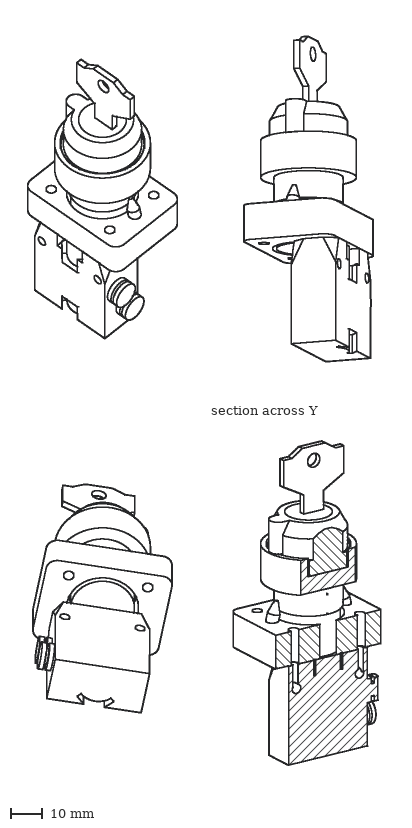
import cadquery as cq
import math

BASE_BOTTOM_Z = 33.3
BASE_TOP_Z = 44.7
COLLAR_BOTTOM_Z = 47.4
BEZEL_BOTTOM_Z = 56.0
BEZEL_TOP_Z = 67.7
KNOB_EDGE_Z = 73.9
KNOB_TOP_Z = 78.4
KEY_TOP_Z = 100.5

BLOCK_WIDTH = 30.0
BLOCK_DEPTH = 15.0
BLOCK_FRONT_Y = -BLOCK_DEPTH
CORNER_CUT_X = 2.6
CORNER_CUT_Y = 4.2
CORNER_CUT_Z = 8.1
CROSS_HOLE_DIAMETER = 3.0
CROSS_HOLE_X = 12.0
CROSS_HOLE_Z = BASE_BOTTOM_Z - 8.2
THREAD_HOLE_DIAMETER = 2.4
THREAD_HOLE_X = 12.4

SLOT_WIDTH = 6.5
TEE_WIDTH = 10.8
TEE_BOTTOM_Z = 27.9
SLOT_BOTTOM_Z = 21.8
FOOT_SLOT_HEIGHT = 5.9
TEE_BACK_Y = -10.5
CORE_SIDE_Y = -11.3
CORE_RADIUS = 6.5
CORE_HALF_CHORD = 4.7
CORE_BULGE = CORE_RADIUS - math.sqrt(CORE_RADIUS**2 - CORE_HALF_CHORD**2)

SCREW_HEAD_DIAMETER = 8.5
SCREW_WAIST_DIAMETER = 5.0
SCREW_DISC = 1.5
SCREW_WAIST = 0.9
LOWER_SCREW_Z = 9.3
SCREW_PITCH_Z = 9.1
SCREW_OFFSET_Y = 2.0

BASE_LENGTH = 40.0
BASE_WIDTH = 30.0
BASE_CORNER_RADIUS = 3.5
NECK_HOLE_DIAMETER = 22.5
MOUNT_HOLE_DIAMETER = 3.2
MOUNT_HOLE_X = 12.6
MOUNT_HOLE_Y = 10.0

PIN_DIAMETER = 4.0
PIN_TIP_DIAMETER = 1.2
PIN_X = 13.8
PIN_TILT = 14.0
PIN_SHANK = 2.4
PIN_CONE = 4.2
PIN_ROOT = 1.5

NECK_DIAMETER = 20.0
COLLAR_DIAMETER = 21.7
BEZEL_DIAMETER = 30.0
BORE_DIAMETER = 26.5
BORE_DEPTH = 6.0
PLUG_DIAMETER = 15.0
KEY_CENTRE_X = 1.3
KEY_THICKNESS = 2.0
KEY_STEM_WIDTH = 7.5
KEY_BOW_WIDTH = 22.9
KEY_TOP_WIDTH = 8.6
KEY_CREST_WIDTH = 16.6
KEY_STEM_TOP_Z = 84.7
KEY_BOW_BOTTOM_Z = 88.9
KEY_BOW_TOP_Z = 98.0
KEY_HOLE_DIAMETER = 4.5
KEY_HOLE_Z = 95.6

SKIRT_DIAMETER = 26.0
SKIRT_RECESS = 0.8
KNOB_DIAMETER = 24.5
KNOB_TOP_DIAMETER = 19.5
TAB_WIDTH = 6.0
TAB_REACH = 14.5


def box(width, y_min, y_max, z_min, z_max):
    """Box centred on X = 0 between the given Y and Z limits."""
    return (
        cq.Workplane("XY", origin=(0, 0, z_min))
        .rect(width, y_max - y_min)
        .extrude(z_max - z_min)
        .translate((0, (y_min + y_max) / 2, 0))
    )


def disc(diameter, z_min, z_max):
    """Upright cylinder on the Z axis."""
    return cq.Workplane("XY", origin=(0, 0, z_min)).circle(diameter / 2).extrude(z_max - z_min)


def corner_cut(side_x, side_y):
    """Tetrahedron that slopes one upper corner of the contact block."""
    corner = cq.Vector(
        side_x * BLOCK_WIDTH / 2, (side_y - 1) / 2 * BLOCK_DEPTH, BASE_BOTTOM_Z
    )
    along_x = corner + cq.Vector(-side_x * CORNER_CUT_X, 0, 0)
    along_y = corner + cq.Vector(0, -side_y * CORNER_CUT_Y, 0)
    along_z = corner + cq.Vector(0, 0, -CORNER_CUT_Z)
    triangles = [
        (corner, along_x, along_y),
        (corner, along_x, along_z),
        (corner, along_y, along_z),
        (along_x, along_y, along_z),
    ]
    faces = [cq.Face.makeFromWires(cq.Wire.makePolygon(points, close=True)) for points in triangles]
    return cq.Workplane(cq.Solid.makeSolid(cq.Shell.makeShell(faces)))


def dovetail_slot(z_min, z_max):
    """Slot that widens inwards at 45 degrees, returns at 45 degrees and is backed by a bulging core."""
    mouth = SLOT_WIDTH / 2
    inset = (CORE_SIDE_Y - BLOCK_FRONT_Y + CORE_HALF_CHORD - mouth) / 2
    return (
        cq.Workplane("XY", origin=(0, 0, z_min))
        .moveTo(-mouth, BLOCK_FRONT_Y)
        .lineTo(-mouth - inset, BLOCK_FRONT_Y + inset)
        .lineTo(-CORE_HALF_CHORD, CORE_SIDE_Y)
        .threePointArc((0, CORE_SIDE_Y - CORE_BULGE), (CORE_HALF_CHORD, CORE_SIDE_Y))
        .lineTo(mouth + inset, BLOCK_FRONT_Y + inset)
        .lineTo(mouth, BLOCK_FRONT_Y)
        .close()
        .extrude(z_max - z_min)
    )


def tee_slot():
    """Wide slot under the base, with the bulging core at its back."""
    return (
        cq.Workplane("XY", origin=(0, 0, TEE_BOTTOM_Z))
        .moveTo(-TEE_WIDTH / 2, BLOCK_FRONT_Y)
        .lineTo(-TEE_WIDTH / 2, TEE_BACK_Y)
        .lineTo(-CORE_HALF_CHORD, TEE_BACK_Y)
        .lineTo(-CORE_HALF_CHORD, CORE_SIDE_Y)
        .threePointArc((0, CORE_SIDE_Y - CORE_BULGE), (CORE_HALF_CHORD, CORE_SIDE_Y))
        .lineTo(CORE_HALF_CHORD, TEE_BACK_Y)
        .lineTo(TEE_WIDTH / 2, TEE_BACK_Y)
        .lineTo(TEE_WIDTH / 2, BLOCK_FRONT_Y)
        .close()
        .extrude(BASE_BOTTOM_Z - TEE_BOTTOM_Z)
    )


def terminal_screw(y, z):
    """Grooved screw head that stands out of the +X side of the block."""
    screw = cq.Workplane("YZ", origin=(BLOCK_WIDTH / 2, y, z))
    length = 2 * SCREW_DISC + SCREW_WAIST
    waist = screw.circle(SCREW_WAIST_DIAMETER / 2).extrude(length)
    inner = screw.circle(SCREW_HEAD_DIAMETER / 2).extrude(SCREW_DISC)
    outer = inner.translate((SCREW_DISC + SCREW_WAIST, 0, 0))
    return waist.union(inner).union(outer)


def make_contact_block():
    block = box(BLOCK_WIDTH, BLOCK_FRONT_Y, 0, 0, BASE_BOTTOM_Z)
    block = block.cut(dovetail_slot(0, FOOT_SLOT_HEIGHT))
    block = block.cut(dovetail_slot(SLOT_BOTTOM_Z, TEE_BOTTOM_Z)).cut(tee_slot())
    for side_x in (-1, 1):
        for side_y in (-1, 1):
            block = block.cut(corner_cut(side_x, side_y))
        cross_hole = (
            cq.Workplane("XZ", origin=(side_x * CROSS_HOLE_X, 0, CROSS_HOLE_Z))
            .circle(CROSS_HOLE_DIAMETER / 2)
            .extrude(BLOCK_DEPTH)
        )
        thread_hole = disc(THREAD_HOLE_DIAMETER, CROSS_HOLE_Z, BASE_BOTTOM_Z).translate(
            (side_x * THREAD_HOLE_X, -MOUNT_HOLE_Y, 0)
        )
        block = block.cut(cross_hole).cut(thread_hole)
    middle_y = BLOCK_FRONT_Y / 2
    lower = terminal_screw(middle_y + SCREW_OFFSET_Y, LOWER_SCREW_Z)
    upper = terminal_screw(middle_y - SCREW_OFFSET_Y, LOWER_SCREW_Z + SCREW_PITCH_Z)
    return block.union(lower).union(upper)


def locating_pin(side):
    """Pointed pin leaning towards the neck; its root is sunk in the base."""
    pin = (
        cq.Workplane("XZ")
        .moveTo(0, -PIN_ROOT)
        .lineTo(PIN_DIAMETER / 2, -PIN_ROOT)
        .lineTo(PIN_DIAMETER / 2, PIN_SHANK)
        .lineTo(PIN_TIP_DIAMETER / 2, PIN_SHANK + PIN_CONE)
        .lineTo(0, PIN_SHANK + PIN_CONE)
        .close()
        .revolve(360, (0, 0, 0), (0, 1, 0))
    )
    return pin.rotate((0, 0, 0), (0, 1, 0), -side * PIN_TILT).translate((side * PIN_X, 0, BASE_TOP_Z))


def make_base():
    base = box(BASE_LENGTH, -BASE_WIDTH / 2, BASE_WIDTH / 2, BASE_BOTTOM_Z, BASE_TOP_Z)
    base = base.edges("|Z").fillet(BASE_CORNER_RADIUS)
    for side in (-1, 1):
        base = base.union(locating_pin(side))
        for side_y in (-1, 1):
            mount_hole = disc(MOUNT_HOLE_DIAMETER, BASE_BOTTOM_Z, BASE_TOP_Z)
            base = base.cut(mount_hole.translate((side * MOUNT_HOLE_X, side_y * MOUNT_HOLE_Y, 0)))
    return base.cut(disc(NECK_HOLE_DIAMETER, BASE_BOTTOM_Z, BASE_TOP_Z))


def lock_turning():
    """Revolved neck, collar and bored bezel, with the plug rising through the bore."""
    bore_floor_z = BEZEL_TOP_Z - BORE_DEPTH
    return (
        cq.Workplane("XZ")
        .moveTo(0, BASE_BOTTOM_Z)
        .lineTo(NECK_DIAMETER / 2, BASE_BOTTOM_Z)
        .lineTo(NECK_DIAMETER / 2, COLLAR_BOTTOM_Z)
        .lineTo(COLLAR_DIAMETER / 2, COLLAR_BOTTOM_Z)
        .lineTo(COLLAR_DIAMETER / 2, BEZEL_BOTTOM_Z)
        .lineTo(BEZEL_DIAMETER / 2, BEZEL_BOTTOM_Z)
        .lineTo(BEZEL_DIAMETER / 2, BEZEL_TOP_Z)
        .lineTo(BORE_DIAMETER / 2, BEZEL_TOP_Z)
        .lineTo(BORE_DIAMETER / 2, bore_floor_z)
        .lineTo(PLUG_DIAMETER / 2, bore_floor_z)
        .lineTo(PLUG_DIAMETER / 2, KNOB_TOP_Z)
        .lineTo(0, KNOB_TOP_Z)
        .close()
        .revolve(360, (0, 0, 0), (0, 1, 0))
    )


def key_blade():
    """Flat key with a ring hole, standing on the plug."""
    half_profile = [
        (KEY_STEM_WIDTH / 2, KNOB_TOP_Z),
        (KEY_STEM_WIDTH / 2, KEY_STEM_TOP_Z),
        (KEY_BOW_WIDTH / 2, KEY_BOW_BOTTOM_Z),
        (KEY_BOW_WIDTH / 2, KEY_BOW_TOP_Z),
        (KEY_CREST_WIDTH / 2, KEY_BOW_TOP_Z),
        (KEY_TOP_WIDTH / 2, KEY_TOP_Z),
    ]
    mirrored = [(-x, z) for x, z in reversed(half_profile)]
    blade = (
        cq.Workplane("XZ", origin=(KEY_CENTRE_X, 0, 0))
        .polyline(half_profile + mirrored)
        .close()
        .extrude(KEY_THICKNESS / 2, both=True)
    )
    ring_hole = (
        cq.Workplane("XZ", origin=(KEY_CENTRE_X, 0, KEY_HOLE_Z))
        .circle(KEY_HOLE_DIAMETER / 2)
        .extrude(KEY_THICKNESS, both=True)
    )
    return blade.cut(ring_hole)


def make_lock():
    return lock_turning().union(key_blade())


def pointer_tab():
    """Round-ended pointer on the -X side of the knob, resting on the bezel rim."""
    radius = TAB_WIDTH / 2
    centre_x = radius - TAB_REACH
    return (
        cq.Workplane("XY", origin=(0, 0, BEZEL_TOP_Z))
        .moveTo(0, radius)
        .lineTo(centre_x, radius)
        .threePointArc((-TAB_REACH, 0), (centre_x, -radius))
        .lineTo(0, -radius)
        .close()
        .extrude(KNOB_TOP_Z - BEZEL_TOP_Z)
    )


def make_knob():
    """Ring around the plug, with a skirt in the bezel bore and a sloped upper edge."""
    bottom_z = BEZEL_TOP_Z - BORE_DEPTH
    skirt_top_z = BEZEL_TOP_Z - SKIRT_RECESS
    knob = (
        cq.Workplane("XZ")
        .moveTo(0, bottom_z)
        .lineTo(SKIRT_DIAMETER / 2, bottom_z)
        .lineTo(SKIRT_DIAMETER / 2, skirt_top_z)
        .lineTo(KNOB_DIAMETER / 2, skirt_top_z)
        .lineTo(KNOB_DIAMETER / 2, KNOB_EDGE_Z)
        .lineTo(KNOB_TOP_DIAMETER / 2, KNOB_TOP_Z)
        .lineTo(0, KNOB_TOP_Z)
        .close()
        .revolve(360, (0, 0, 0), (0, 1, 0))
    )
    return knob.union(pointer_tab()).cut(disc(PLUG_DIAMETER, bottom_z, KNOB_TOP_Z))


contact_block = make_contact_block()
mounting_base = make_base()
lock = make_lock()
knob = make_knob()

result = cq.Compound.makeCompound(
    [contact_block.val(), mounting_base.val(), lock.val(), knob.val()]
)